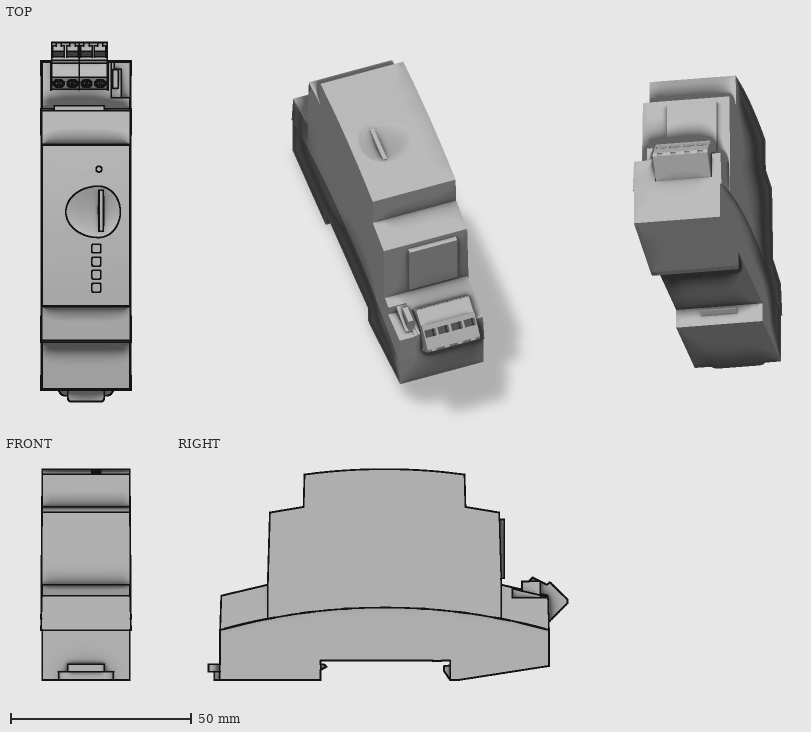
import cadquery as cq
import math

HALF_LENGTH = 45.68
BASE_HALF_WIDTH = 12.2

SEAM_END_Z = 13.9
SEAM_APEX_Z = 20.2
RAIL_FRONT_Y = -17.75
RAIL_BACK_Y = 18.2
RAIL_TOP_Z = 5.4
BASE_BACK_Z = 3.9
BASE_TOE_Y = 20.6
HOOK_HALF_WIDTH = 10.3
HOOK_REACH = 1.75
HOOK_TOP_Z = 4.1
HOOK_NOSE_TOP_Z = 3.9
HOOK_NOSE_LOW_Z = 2.6
RAIL_PAD_LENGTH = 2.4
RAIL_PAD_Y = 14.6
RAIL_PAD_HEIGHT = 0.2

COVER_TOP_Z = 58.6
CROWN_HALF_LENGTH = 22.25
CROWN_EDGE_Z = 57.1
CROWN_FOOT_HALF_LENGTH = 22.5
CROWN_FOOT_Z = 48.1
SHOULDER_HALF_LENGTH = 31.85
SHOULDER_Z = 46.55
WING_ROOT_HALF_LENGTH = 32.45
WING_ROOT_Z = 26.5
WING_END_HALF_LENGTH = 45.35
WING_END_Z = 23.45
COVER_FOOT_HALF_WIDTH = 12.53
COVER_CROWN_HALF_WIDTH = 12.15
WING_FOOT_HALF_WIDTH = COVER_FOOT_HALF_WIDTH
WING_TOP_HALF_WIDTH = 12.1

PLATE_X = (-8.85, 5.1)
PLATE_Z = (28.25, 44.65)
PLATE_BACK_Y = 33.3
PLATE_ROOT_Y = 31.0

DISH_Y = 4.1
DISH_LEFT_X = -5.7
DISH_DEEPEST_X = 3.4
DISH_RIGHT_X = 9.6
DISH_HALF_LENGTH = 7.5
DISH_DEPTH = 2.0
FIN_X = 4.2
FIN_LENGTH = 11.4
FIN_FOOT_THICKNESS = 1.7
FIN_TOP_THICKNESS = 1.1
FIN_DROP = 0.4
FIN_ROOT_DEPTH = 3.0

WINDOW_SIZE = 2.45
WINDOW_CORNER = 0.4
WINDOW_X = 2.88
WINDOW_FIRST_Y = -6.4
WINDOW_PITCH = 3.62
WINDOW_COUNT = 4
GUIDE_BAR_THICKNESS = 1.5
GUIDE_BAR_TOP_Z = 54.5
LAMP_DIAMETER = 1.6
LAMP_X = 3.6
LAMP_Y = 15.65
LAMP_FLOOR_Z = 54.5

PLUG_LEFT_X = -9.52
PLUG_WIDTH = 7.71
PLUG_COUNT = 2
POLE_PITCH = 3.81
PLUG_TIP_Y = 50.85
PLUG_TIP_LOW_Z = 21.4
PLUG_TIP_FLAT = 0.95
PLUG_RIDGE = (45.9, 27.2)
PLUG_NOTCH = (45.1, 26.5)
PLUG_PEAK = (41.1, 28.5)
PLUG_SEAT_DEPTH = 8.7
SOCKET_SIDE_GAP = 0.28
SCREW_Y = 39.4
SCREW_WELL_DIAMETER = 3.0
SCREW_WELL_DEPTH = 0.8
SCREW_DIAMETER = 2.03
SCREW_SLOT_WIDTH = 0.5
WIRE_OPENING_WIDTH = 3.2
WIRE_OPENING_HEIGHT = 4.2
WIRE_OPENING_DEPTH = 5.0
WIRE_LIP_WIDTH = 1.5
WIRE_LIP_DEPTH = 0.6

SWITCH_X = (7.45, 8.95)
SWITCH_Y = (38.1, 43.3)
SWITCH_TOP_Z = 27.4
SWITCH_FLOOR_Z = 20.0
SWITCH_BAY_X = (6.95, 9.8)
SWITCH_BAY_FRONT_Y = 35.5
SWITCH_BAY_DEPTH = 0.4
LABEL_LEDGE_Z = 22.8
LABEL_LEDGE_BACK_X = 7.8
LABEL_LEDGE_BACK_Y = 43.4

LATCH_FOOT_HALF_WIDTH = 7.65
LATCH_FOOT_HEIGHT = 2.25
LATCH_FOOT_FRONT_Y = -47.3
LATCH_FOOT_CORNER = 2.1
LATCH_BAR_HALF_WIDTH = 5.1
LATCH_BAR_TOP_Z = 4.4
LATCH_BAR_FRONT_Y = -48.92
LATCH_BAR_CORNER = 1.1
LATCH_NOSE_REACH = 1.7
LATCH_NOSE_Z = 3.7
LATCH_NOSE_CHAMFER = 0.8
LATCH_NOSE_FOOT_Z = 2.8


def box(x_range, y_range, z_range):
    size = [limits[1] - limits[0] for limits in (x_range, y_range, z_range)]
    corner = (x_range[0], y_range[0], z_range[0])
    return cq.Workplane("XY").box(*size, centered=False).translate(corner)


def prism_yz(points, x_range):
    """Extrude a closed (y, z) outline along X."""
    plane = cq.Workplane("YZ", origin=(x_range[0], 0, 0))
    return plane.polyline(points).close().extrude(x_range[1] - x_range[0])


def both_ways(half):
    return (-half, half)


def build_latch():
    foot = box(
        both_ways(LATCH_FOOT_HALF_WIDTH), (LATCH_FOOT_FRONT_Y, RAIL_FRONT_Y), (0, LATCH_FOOT_HEIGHT)
    )
    foot = foot.edges("|Z and <Y").fillet(LATCH_FOOT_CORNER)
    bar = box(
        both_ways(LATCH_BAR_HALF_WIDTH),
        (LATCH_BAR_FRONT_Y, RAIL_FRONT_Y),
        (LATCH_FOOT_HEIGHT, LATCH_BAR_TOP_Z),
    )
    bar = bar.edges("|Z and <Y").fillet(LATCH_BAR_CORNER)
    nose_y = RAIL_FRONT_Y + LATCH_NOSE_REACH
    nose = prism_yz(
        [
            (RAIL_FRONT_Y, LATCH_NOSE_FOOT_Z),
            (nose_y, LATCH_NOSE_Z),
            (nose_y - LATCH_NOSE_CHAMFER, LATCH_BAR_TOP_Z),
            (RAIL_FRONT_Y, LATCH_BAR_TOP_Z),
        ],
        both_ways(LATCH_BAR_HALF_WIDTH),
    )
    return foot.union(bar).union(nose)


def build_base(latch):
    body = (
        cq.Workplane("YZ", origin=(-BASE_HALF_WIDTH, 0, 0))
        .moveTo(-HALF_LENGTH, 0)
        .lineTo(RAIL_FRONT_Y, 0)
        .lineTo(RAIL_FRONT_Y, RAIL_TOP_Z)
        .lineTo(RAIL_BACK_Y, RAIL_TOP_Z)
        .lineTo(RAIL_BACK_Y, 0)
        .lineTo(BASE_TOE_Y, 0)
        .lineTo(HALF_LENGTH, BASE_BACK_Z)
        .lineTo(HALF_LENGTH, SEAM_END_Z)
        .threePointArc((0, SEAM_APEX_Z), (-HALF_LENGTH, SEAM_END_Z))
        .close()
        .extrude(2 * BASE_HALF_WIDTH)
    )
    hook = prism_yz(
        [
            (RAIL_BACK_Y, 0),
            (RAIL_BACK_Y, HOOK_TOP_Z),
            (RAIL_BACK_Y - HOOK_REACH, HOOK_NOSE_TOP_Z),
            (RAIL_BACK_Y - HOOK_REACH, HOOK_NOSE_LOW_Z),
        ],
        both_ways(HOOK_HALF_WIDTH),
    )
    pad_y = (RAIL_PAD_Y - RAIL_PAD_LENGTH / 2, RAIL_PAD_Y + RAIL_PAD_LENGTH / 2)
    pad = box(both_ways(HOOK_HALF_WIDTH), pad_y, (RAIL_TOP_Z - RAIL_PAD_HEIGHT, RAIL_TOP_Z))
    return body.union(hook).union(pad).cut(latch)


PLUG_TIP_TOP_Z = PLUG_TIP_LOW_Z + PLUG_TIP_FLAT
PLUG_LOWER_OFFSET = PLUG_TIP_LOW_Z - PLUG_TIP_Y
PLUG_UPPER_OFFSET = PLUG_PEAK[1] - PLUG_PEAK[0]
PLUG_INNER_LOW = (
    PLUG_TIP_Y - PLUG_SEAT_DEPTH * math.sqrt(0.5),
    PLUG_TIP_LOW_Z - PLUG_SEAT_DEPTH * math.sqrt(0.5),
)
PLUG_RISE = (PLUG_UPPER_OFFSET - PLUG_LOWER_OFFSET) / 2
PLUG_INNER_HIGH = (PLUG_INNER_LOW[0] - PLUG_RISE, PLUG_INNER_LOW[1] + PLUG_RISE)
SCREW_CENTRE = (SCREW_Y, SCREW_Y + PLUG_UPPER_OFFSET)
WIRE_CENTRE = ((PLUG_TIP_Y + PLUG_RIDGE[0]) / 2, (PLUG_TIP_TOP_Z + PLUG_RIDGE[1]) / 2)


def build_plug(left_x):
    plug = prism_yz(
        [
            PLUG_INNER_LOW,
            (PLUG_TIP_Y, PLUG_TIP_LOW_Z),
            (PLUG_TIP_Y, PLUG_TIP_TOP_Z),
            PLUG_RIDGE,
            PLUG_NOTCH,
            PLUG_PEAK,
            PLUG_INNER_HIGH,
        ],
        (left_x, left_x + PLUG_WIDTH),
    )
    plug_middle = left_x + PLUG_WIDTH / 2
    for side in (-1, 1):
        pole_x = plug_middle + side * POLE_PITCH / 2
        plug = plug.cut(screw_well(pole_x)).cut(wire_opening(pole_x))
    return plug


def screw_well(pole_x):
    """Ring-shaped well that leaves a slotted screw head standing in it."""
    face = cq.Workplane(cq.Plane((pole_x, *SCREW_CENTRE), xDir=(1, 0, 0), normal=(0, -1, 1)))
    well = face.circle(SCREW_WELL_DIAMETER / 2).circle(SCREW_DIAMETER / 2).extrude(-SCREW_WELL_DEPTH)
    slot = face.rect(SCREW_SLOT_WIDTH, SCREW_DIAMETER).extrude(-SCREW_WELL_DEPTH)
    return well.union(slot)


def wire_opening(pole_x):
    """Rectangular wire entry with a shallow lip running out over the tip of the plug."""
    face = cq.Workplane(cq.Plane((pole_x, *WIRE_CENTRE), xDir=(1, 0, 0), normal=(0, 1, 1)))
    entry = face.rect(WIRE_OPENING_WIDTH, WIRE_OPENING_HEIGHT).extrude(-WIRE_OPENING_DEPTH)
    lip = (
        face.center(0, WIRE_OPENING_HEIGHT)
        .rect(WIRE_LIP_WIDTH, 2 * WIRE_OPENING_HEIGHT)
        .extrude(-WIRE_LIP_DEPTH)
    )
    return entry.union(lip)


def plug_socket():
    """Seat for both plugs, open to the back and to the top of the cover."""
    reach = PLUG_TIP_Y - PLUG_INNER_LOW[0]
    socket_x = (PLUG_LEFT_X - SOCKET_SIDE_GAP, PLUG_LEFT_X + PLUG_COUNT * PLUG_WIDTH + SOCKET_SIDE_GAP)
    return prism_yz(
        [
            PLUG_INNER_LOW,
            (PLUG_TIP_Y, PLUG_TIP_LOW_Z),
            (PLUG_INNER_HIGH[0] + reach, PLUG_INNER_HIGH[1] + reach),
            PLUG_INNER_HIGH,
        ],
        socket_x,
    )


def taper(foot_half_width, top_half_width, top_z, y_range):
    """Wedge that gives the cover its narrowing side walls."""
    return (
        cq.Workplane("XZ", origin=(0, y_range[1], 0))
        .polyline(
            [
                (-foot_half_width, SEAM_END_Z),
                (foot_half_width, SEAM_END_Z),
                (top_half_width, top_z),
                (-top_half_width, top_z),
            ]
        )
        .close()
        .extrude(y_range[1] - y_range[0])
    )


def crowned_shell():
    """Stepped outline with the arched top, standing on the arched seam."""
    outline = (
        cq.Workplane("YZ", origin=(-COVER_FOOT_HALF_WIDTH, 0, 0))
        .moveTo(HALF_LENGTH, SEAM_END_Z)
        .lineTo(WING_END_HALF_LENGTH, WING_END_Z)
        .lineTo(WING_ROOT_HALF_LENGTH, WING_ROOT_Z)
        .lineTo(SHOULDER_HALF_LENGTH, SHOULDER_Z)
        .lineTo(CROWN_FOOT_HALF_LENGTH, CROWN_FOOT_Z)
        .lineTo(CROWN_HALF_LENGTH, CROWN_EDGE_Z)
        .threePointArc((0, COVER_TOP_Z), (-CROWN_HALF_LENGTH, CROWN_EDGE_Z))
        .lineTo(-CROWN_FOOT_HALF_LENGTH, CROWN_FOOT_Z)
        .lineTo(-SHOULDER_HALF_LENGTH, SHOULDER_Z)
        .lineTo(-WING_ROOT_HALF_LENGTH, WING_ROOT_Z)
        .lineTo(-WING_END_HALF_LENGTH, WING_END_Z)
        .lineTo(-HALF_LENGTH, SEAM_END_Z)
        .threePointArc((0, SEAM_APEX_Z), (HALF_LENGTH, SEAM_END_Z))
        .close()
        .extrude(2 * COVER_FOOT_HALF_WIDTH)
    )
    walls = taper(
        COVER_FOOT_HALF_WIDTH, COVER_CROWN_HALF_WIDTH, COVER_TOP_Z, both_ways(WING_ROOT_HALF_LENGTH)
    )
    for y_range in ((-HALF_LENGTH, -WING_ROOT_HALF_LENGTH), (WING_ROOT_HALF_LENGTH, HALF_LENGTH)):
        walls = walls.union(taper(WING_FOOT_HALF_WIDTH, WING_TOP_HALF_WIDTH, WING_ROOT_Z, y_range))
    return outline.intersect(walls)


def dish():
    """Egg-shaped scoop: two tangent arcs turned about an X axis above the cover."""
    radius = (DISH_HALF_LENGTH**2 + DISH_DEPTH**2) / (2 * DISH_DEPTH)
    axis_height = radius - DISH_DEPTH

    def arc_middle(rim_x):
        """Middle of the arc from the deepest point, where it is level, to the rim at rim_x."""
        span = rim_x - DISH_DEEPEST_X
        arc_radius = (span**2 + DISH_DEPTH**2) / (2 * DISH_DEPTH)
        half_angle = math.asin(span / arc_radius) / 2
        rise = arc_radius * (1 - math.cos(half_angle))
        return (DISH_DEEPEST_X + arc_radius * math.sin(half_angle), rise - radius)

    return (
        cq.Workplane("XZ", origin=(0, DISH_Y, COVER_TOP_Z + axis_height))
        .moveTo(DISH_LEFT_X, 0)
        .lineTo(DISH_LEFT_X, -axis_height)
        .threePointArc(arc_middle(DISH_LEFT_X), (DISH_DEEPEST_X, -radius))
        .threePointArc(arc_middle(DISH_RIGHT_X), (DISH_RIGHT_X, -axis_height))
        .lineTo(DISH_RIGHT_X, 0)
        .close()
        .revolve(360, (0, 0, 0), (1, 0, 0))
    )


def grip_fin():
    """Flat-topped, tapering fin across the dish; its foot is buried in the cover."""
    foot_z = COVER_TOP_Z - FIN_ROOT_DEPTH
    top_z = COVER_TOP_Z - FIN_DROP
    return (
        cq.Workplane("XZ", origin=(FIN_X, DISH_Y + FIN_LENGTH / 2, 0))
        .polyline(
            [
                (-FIN_FOOT_THICKNESS / 2, foot_z),
                (FIN_FOOT_THICKNESS / 2, foot_z),
                (FIN_TOP_THICKNESS / 2, top_z),
                (-FIN_TOP_THICKNESS / 2, top_z),
            ]
        )
        .close()
        .extrude(FIN_LENGTH)
    )


def wing_slope_z(y):
    fall = (WING_ROOT_Z - WING_END_Z) / (WING_END_HALF_LENGTH - WING_ROOT_HALF_LENGTH)
    return WING_ROOT_Z - fall * (y - WING_ROOT_HALF_LENGTH)


def switch_bay():
    """Shallow bay along the slope around the switch, with a level ledge beside and behind it."""
    front, back = SWITCH_BAY_FRONT_Y, HALF_LENGTH
    bay = prism_yz(
        [
            (front, wing_slope_z(front) - SWITCH_BAY_DEPTH),
            (back, wing_slope_z(back) - SWITCH_BAY_DEPTH),
            (back, WING_ROOT_Z),
            (front, WING_ROOT_Z),
        ],
        SWITCH_BAY_X,
    )
    ledge_z = (LABEL_LEDGE_Z, WING_ROOT_Z)
    ledge = box((SWITCH_BAY_X[1], COVER_FOOT_HALF_WIDTH), (front, back), ledge_z)
    back_strip = box((LABEL_LEDGE_BACK_X, COVER_FOOT_HALF_WIDTH), (LABEL_LEDGE_BACK_Y, back), ledge_z)
    return bay.union(ledge).union(back_strip)


def build_cover():
    shell = crowned_shell()
    fin = grip_fin().intersect(shell)
    plate = box(PLATE_X, (PLATE_ROOT_Y, PLATE_BACK_Y), PLATE_Z)
    return shell.cut(dish()).union(fin).union(plate).cut(plug_socket()).cut(switch_bay())


def build_switch():
    return box(SWITCH_X, SWITCH_Y, (SWITCH_FLOOR_Z, SWITCH_TOP_Z))


def build_light_guide(shell):
    """Four windows flush with the arched top, joined by a bar below."""
    half = WINDOW_SIZE / 2
    last_y = WINDOW_FIRST_Y - (WINDOW_COUNT - 1) * WINDOW_PITCH
    guide = box(
        (WINDOW_X - half, WINDOW_X + half),
        (last_y - half, WINDOW_FIRST_Y + half),
        (GUIDE_BAR_TOP_Z - GUIDE_BAR_THICKNESS, GUIDE_BAR_TOP_Z),
    )
    for index in range(WINDOW_COUNT):
        window = (
            cq.Workplane("XY", origin=(WINDOW_X, WINDOW_FIRST_Y - index * WINDOW_PITCH, GUIDE_BAR_TOP_Z))
            .rect(WINDOW_SIZE, WINDOW_SIZE)
            .extrude(COVER_TOP_Z - GUIDE_BAR_TOP_Z)
            .edges("|Z")
            .fillet(WINDOW_CORNER)
        )
        guide = guide.union(window)
    return guide.intersect(shell)


def build_status_lamp(shell):
    lamp = (
        cq.Workplane("XY", origin=(LAMP_X, LAMP_Y, LAMP_FLOOR_Z))
        .circle(LAMP_DIAMETER / 2)
        .extrude(COVER_TOP_Z - LAMP_FLOOR_Z)
    )
    return lamp.intersect(shell)


latch = build_latch()
base = build_base(latch)
plugs = [build_plug(PLUG_LEFT_X + index * PLUG_WIDTH) for index in range(PLUG_COUNT)]
switch = build_switch()
solid_cover = build_cover()
light_guide = build_light_guide(solid_cover)
status_lamp = build_status_lamp(solid_cover)
cover = solid_cover.cut(switch).cut(light_guide).cut(status_lamp)

bodies = [base, cover, latch, *plugs, switch, light_guide, status_lamp]
result = cq.Compound.makeCompound([body.solids().val() for body in bodies])